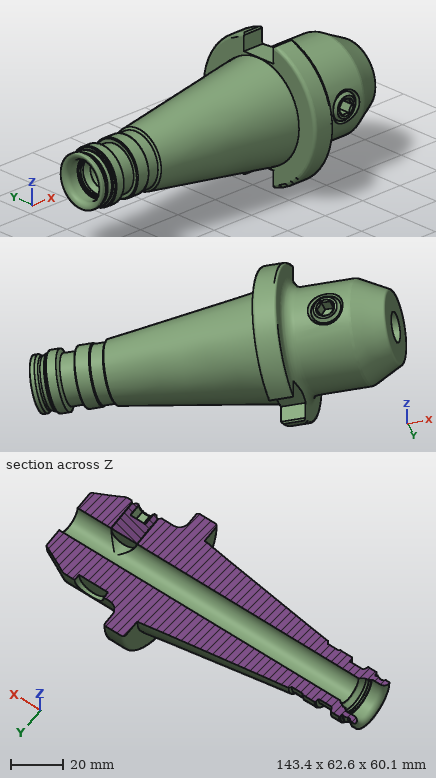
import cadquery as cq
import math

LENGTH = 143.4
COLLAR_START, COLLAR_END = 6.6, 10.9
LAND_START, LAND_END = 18.0, 24.1
SHOULDER_END = 29.5
TAPER_START, TAPER_END = 30.3, 93.9
FLANGE_START, FLANGE_END = 95.0, 104.7
NOSE_CONE_START = 130.9

LIP_RADIUS = 11.6
LIP_GROOVE_RADIUS = 10.8
LIP_CREST_RADIUS = 11.5
LIP_RELIEF_RADIUS = 11.0
COLLAR_RADIUS = 12.5
NECK_RADIUS = 10.5
SHOULDER_RADIUS = 12.0
TAPER_LARGE_RADIUS = 22.4
TAPER_SLOPE = 7 / 48
TAPER_SMALL_RADIUS = TAPER_LARGE_RADIUS - TAPER_SLOPE * (TAPER_END - TAPER_START)
FLANGE_RADIUS = 31.3
BODY_RADIUS = 21.1
NOSE_RADIUS = 14.8

LIP_END = 2.0
GROOVE_FLOOR_START, GROOVE_FLOOR_END = 3.2, 4.0
LIP_CREST = 5.7
LIP_ROUND = 0.6
MOUTH_ROUND = 2.5

COLLAR_CHAMFER = 0.5
COLLAR_BACK_BEVEL = 1.0
FLANGE_FRONT_ROUND = 1.5
FLANGE_BACK_ROUND = 1.0
ROOT_FILLET = 4.3
BODY_EDGE_ROUND = 2.3
NOSE_ROUND = 1.1

MOUTH_RADIUS = LIP_RADIUS - LIP_ROUND - MOUTH_ROUND
MOUTH_DEPTH = 6.5
STEP_RADIUS, STEP_DEPTH = 8.0, 7.3
THREAD_RADIUS, THREAD_DEPTH = 7.6, 8.5
THREAD_CONE_RADIUS, THREAD_CONE_DEPTH = 6.6, 10.3
BORE_RADIUS = 6.0
BORE_START = THREAD_CONE_DEPTH + THREAD_CONE_RADIUS - BORE_RADIUS

SLOT_WIDTH = 16.0
SLOT_FLOOR = 22.5
SLOT_CHAMFER = 0.7

SCREW_X = 121.5
SCREW_RADIUS = 6.0
SCREW_CHAMFER = 1.3
SCREW_TIP = BORE_RADIUS
SCREW_HOLE_CHAMFER = 1.0
HEX_ACROSS_FLATS = 6.0
HEX_DEPTH = 5.7
HEX_MOUTH_RADIUS = 3.7
BALANCE_X = 118.6
BALANCE_RADIUS = 6.7
BALANCE_DEPTH = 2.9

SELECT_MARGIN = 0.1


def revolve_about_x(outline):
    """Revolve a closed (x, radius) outline around the X axis."""
    return outline.close().revolve(360, (0, 0, 0), (1, 0, 0))


def shank():
    """Small-end lip, collars and taper, reaching into the flange."""
    outline = (
        cq.Workplane("XZ")
        .moveTo(0, 0)
        .lineTo(0, LIP_RADIUS - LIP_ROUND)
        .radiusArc((LIP_ROUND, LIP_RADIUS), LIP_ROUND)
        .lineTo(LIP_END, LIP_RADIUS)
        .lineTo(GROOVE_FLOOR_START, LIP_GROOVE_RADIUS)
        .lineTo(GROOVE_FLOOR_END, LIP_GROOVE_RADIUS)
        .lineTo(LIP_CREST, LIP_CREST_RADIUS)
        .lineTo(LIP_CREST, LIP_RELIEF_RADIUS)
        .lineTo(COLLAR_START, LIP_RELIEF_RADIUS)
        .lineTo(COLLAR_START, COLLAR_RADIUS - COLLAR_CHAMFER)
        .lineTo(COLLAR_START + COLLAR_CHAMFER, COLLAR_RADIUS)
        .lineTo(COLLAR_END, COLLAR_RADIUS)
        .lineTo(COLLAR_END + COLLAR_BACK_BEVEL, NECK_RADIUS)
        .lineTo(LAND_START, NECK_RADIUS)
        .lineTo(LAND_START, COLLAR_RADIUS - COLLAR_CHAMFER)
        .lineTo(LAND_START + COLLAR_CHAMFER, COLLAR_RADIUS)
        .lineTo(LAND_END, COLLAR_RADIUS)
        .lineTo(LAND_END + COLLAR_CHAMFER, SHOULDER_RADIUS)
        .lineTo(SHOULDER_END, SHOULDER_RADIUS)
        .lineTo(TAPER_START, TAPER_SMALL_RADIUS)
        .lineTo(TAPER_END, TAPER_LARGE_RADIUS)
        .lineTo(FLANGE_START, TAPER_LARGE_RADIUS)
        .lineTo(FLANGE_START, 0)
    )
    return revolve_about_x(outline)


def flange_and_nose():
    """Round-edged flange blended into the cylindrical body and its conical nose."""
    fillet_end = FLANGE_END + ROOT_FILLET
    outline = (
        cq.Workplane("XZ")
        .moveTo(FLANGE_START, 0)
        .lineTo(FLANGE_START, FLANGE_RADIUS - FLANGE_FRONT_ROUND)
        .radiusArc((FLANGE_START + FLANGE_FRONT_ROUND, FLANGE_RADIUS), FLANGE_FRONT_ROUND)
        .lineTo(FLANGE_END - FLANGE_BACK_ROUND, FLANGE_RADIUS)
        .radiusArc((FLANGE_END, FLANGE_RADIUS - FLANGE_BACK_ROUND), FLANGE_BACK_ROUND)
        .lineTo(FLANGE_END, BODY_RADIUS + ROOT_FILLET)
        .radiusArc((fillet_end, BODY_RADIUS), -ROOT_FILLET)
        .lineTo(NOSE_CONE_START, BODY_RADIUS)
        .lineTo(LENGTH, NOSE_RADIUS)
        .lineTo(LENGTH, 0)
    )
    solid = revolve_about_x(outline)
    body_edge = cq.selectors.BoxSelector(
        (NOSE_CONE_START - SELECT_MARGIN, -FLANGE_RADIUS, -FLANGE_RADIUS),
        (NOSE_CONE_START + SELECT_MARGIN, FLANGE_RADIUS, FLANGE_RADIUS),
        boundingbox=True,
    )
    return solid.edges(body_edge).fillet(BODY_EDGE_ROUND).faces(">X").edges().fillet(NOSE_ROUND)


def bore():
    """Through bore with a rounded mouth and a stepped, conical entry at the small end."""
    outline = (
        cq.Workplane("XZ")
        .moveTo(0, 0)
        .lineTo(0, MOUTH_RADIUS + MOUTH_ROUND)
        .radiusArc((MOUTH_ROUND, MOUTH_RADIUS), -MOUTH_ROUND)
        .lineTo(MOUTH_DEPTH, MOUTH_RADIUS)
        .lineTo(MOUTH_DEPTH, STEP_RADIUS)
        .lineTo(STEP_DEPTH, STEP_RADIUS)
        .lineTo(STEP_DEPTH, THREAD_RADIUS)
        .lineTo(THREAD_DEPTH, THREAD_RADIUS)
        .lineTo(THREAD_CONE_DEPTH, THREAD_CONE_RADIUS)
        .lineTo(BORE_START, BORE_RADIUS)
        .lineTo(LENGTH, BORE_RADIUS)
        .lineTo(LENGTH, 0)
    )
    return revolve_about_x(outline)


def drive_slot(side):
    """Cutter for the drive slot above (side=1) or below (side=-1) the axis.

    Its mouth flares at 45 degrees, which chamfers the slot edges at the flange rim.
    """
    wall = SLOT_WIDTH / 2
    rim_height = math.sqrt(FLANGE_RADIUS**2 - (wall + SLOT_CHAMFER) ** 2)
    flare_start = rim_height - SLOT_CHAMFER
    flared_wall = wall + FLANGE_RADIUS - flare_start
    corners = [
        (wall, side * SLOT_FLOOR),
        (wall, side * flare_start),
        (flared_wall, side * FLANGE_RADIUS),
        (-flared_wall, side * FLANGE_RADIUS),
        (-wall, side * flare_start),
        (-wall, side * SLOT_FLOOR),
    ]
    slot_length = FLANGE_END + ROOT_FILLET - FLANGE_START
    return cq.Workplane("YZ", origin=(FLANGE_START, 0, 0)).polyline(corners).close().extrude(slot_length)


def revolve_about_screw(outline):
    """Revolve a closed (x, y) outline around the screw axis."""
    return outline.close().revolve(360, (SCREW_X, 0, 0), (SCREW_X, 1, 0))


def cut_screw_hole(holder):
    """Drill the screw hole from the -Y side into the bore and chamfer its mouth."""
    drill = cq.Workplane("XZ", origin=(SCREW_X, 0, 0)).circle(SCREW_RADIUS).extrude(BODY_RADIUS)
    reach = SCREW_RADIUS + SELECT_MARGIN
    mouth = cq.selectors.BoxSelector(
        (SCREW_X - reach, -BODY_RADIUS - SELECT_MARGIN, -reach),
        (SCREW_X + reach, -BORE_RADIUS - SELECT_MARGIN, reach),
        boundingbox=True,
    )
    return holder.cut(drill).edges(mouth).chamfer(SCREW_HOLE_CHAMFER)


def make_holder():
    holder = shank().union(flange_and_nose())
    for side in (1, -1):
        holder = holder.cut(drive_slot(side))
    holder = cut_screw_hole(holder.cut(bore()))
    balance_hole = (
        cq.Workplane("XZ", origin=(BALANCE_X, BODY_RADIUS, 0)).circle(BALANCE_RADIUS).extrude(BALANCE_DEPTH)
    )
    return holder.cut(balance_hole)


def make_screw():
    """Clamping screw with a chamfered face and a hexagon socket."""
    face = -BODY_RADIUS
    outline = (
        cq.Workplane("XY")
        .moveTo(SCREW_X, -SCREW_TIP)
        .lineTo(SCREW_X + SCREW_RADIUS, -SCREW_TIP)
        .lineTo(SCREW_X + SCREW_RADIUS, face + SCREW_CHAMFER)
        .lineTo(SCREW_X + SCREW_RADIUS - SCREW_CHAMFER, face)
        .lineTo(SCREW_X, face)
    )
    hex_across_corners = HEX_ACROSS_FLATS / math.cos(math.pi / 6)
    socket = (
        cq.Workplane("XZ", origin=(SCREW_X, face, 0))
        .polygon(6, hex_across_corners)
        .extrude(-HEX_DEPTH)
    )
    socket_mouth = cq.Workplane(
        cq.Solid.makeCone(
            HEX_MOUTH_RADIUS, 0, HEX_MOUTH_RADIUS, pnt=cq.Vector(SCREW_X, face, 0), dir=cq.Vector(0, 1, 0)
        )
    )
    return revolve_about_screw(outline).cut(socket).cut(socket_mouth)


holder = make_holder()
screw = make_screw()

result = cq.Compound.makeCompound([holder.solids().val(), screw.solids().val()])